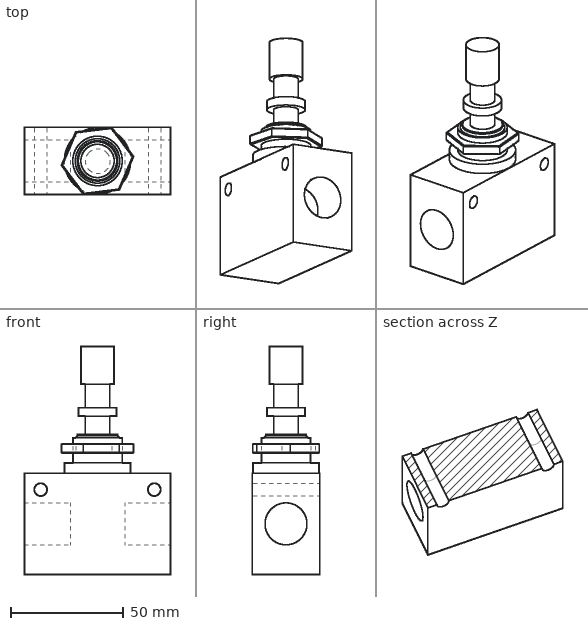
import cadquery as cq
import math

BLOCK_LENGTH = 65.0
BLOCK_WIDTH = 30.0
BLOCK_HEIGHT = 45.0

PORT_DIAMETER = 18.7
PORT_DEPTH = 20.3
PORT_HEIGHT = BLOCK_HEIGHT / 2

MOUNT_DIAMETER = 5.6
MOUNT_SPACING = 50.5
MOUNT_DROP = 7.3

COLLAR_DIAMETER = 29.5
COLLAR_TOP = 49.6
NECK_DIAMETER = 22.0
NECK_TOP = 60.8
LIP_DIAMETER = 18.0
LIP_CONE_HEIGHT = 0.9
LIP_TOP = 62.4

NUT_ACROSS_FLATS = 28.0
NUT_BOTTOM = 54.0
NUT_TOP = 58.2
NUT_CHAMFER = 0.4
NUT_TURN = 7.0

STEM_DIAMETER = 11.0
FLANGE_DIAMETER = 17.0
FLANGE_BOTTOM = 70.4
FLANGE_TOP = 74.3
KNOB_DIAMETER = 14.8
KNOB_BOTTOM = 84.6
KNOB_TOP = 101.5


def disc(diameter, bottom, top):
    """Cylinder on the Z axis between two heights."""
    return cq.Workplane("XY").workplane(offset=bottom).circle(diameter / 2).extrude(top - bottom)


def make_lip():
    """Raised lip whose foot flares out at 45 degrees onto the neck."""
    lip_radius = LIP_DIAMETER / 2
    foot_radius = lip_radius + LIP_CONE_HEIGHT
    return (
        cq.Workplane("XZ")
        .moveTo(0, NECK_TOP)
        .lineTo(foot_radius, NECK_TOP)
        .lineTo(lip_radius, NECK_TOP + LIP_CONE_HEIGHT)
        .lineTo(lip_radius, LIP_TOP)
        .lineTo(0, LIP_TOP)
        .close()
        .revolve(360, (0, 0), (0, 1))
    )


def make_port(side):
    """Cutter for the blind port in the end face at side = -1 (-X) or +1 (+X)."""
    face_center = cq.Vector(side * BLOCK_LENGTH / 2, 0, PORT_HEIGHT)
    inward = cq.Vector(-side, 0, 0)
    return cq.Solid.makeCylinder(PORT_DIAMETER / 2, PORT_DEPTH, face_center, inward)


def make_housing():
    """Block with its turned neck, two ports and two mounting holes."""
    body = cq.Workplane("XY").box(BLOCK_LENGTH, BLOCK_WIDTH, BLOCK_HEIGHT, centered=(True, True, False))
    body = body.union(disc(COLLAR_DIAMETER, BLOCK_HEIGHT, COLLAR_TOP))
    body = body.union(disc(NECK_DIAMETER, COLLAR_TOP, NECK_TOP))
    body = body.union(make_lip())
    for side in (-1, 1):
        body = body.cut(make_port(side))
    mount_height = BLOCK_HEIGHT - MOUNT_DROP
    mount_holes = (
        cq.Workplane("XZ")
        .pushPoints([(side * MOUNT_SPACING / 2, mount_height) for side in (-1, 1)])
        .circle(MOUNT_DIAMETER / 2)
        .extrude(BLOCK_WIDTH, both=True)
    )
    return body.cut(mount_holes)


def make_nut():
    """Hexagonal nut, chamfered on both faces, bored to fit the neck."""
    across_corners = NUT_ACROSS_FLATS / math.cos(math.pi / 6)
    hexagon = (
        cq.Workplane("XY")
        .workplane(offset=NUT_BOTTOM)
        .polygon(6, across_corners)
        .extrude(NUT_TOP - NUT_BOTTOM)
        .faces("<Z or >Z")
        .chamfer(NUT_CHAMFER)
        .rotate((0, 0, 0), (0, 0, 1), NUT_TURN)
    )
    return hexagon.cut(disc(NECK_DIAMETER, NUT_BOTTOM, NUT_TOP))


def make_spindle():
    """Stem with a flange and a knob, standing on the housing lip."""
    stem = disc(STEM_DIAMETER, LIP_TOP, KNOB_BOTTOM)
    flange = disc(FLANGE_DIAMETER, FLANGE_BOTTOM, FLANGE_TOP)
    knob = disc(KNOB_DIAMETER, KNOB_BOTTOM, KNOB_TOP)
    return stem.union(flange).union(knob)


housing = make_housing()
nut = make_nut()
spindle = make_spindle()

result = cq.Compound.makeCompound([body.solids().val() for body in (housing, nut, spindle)])